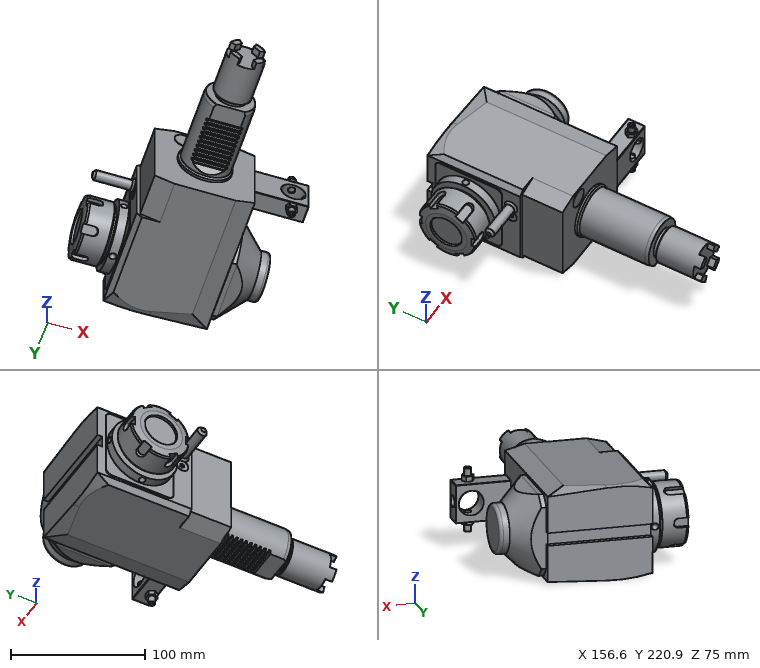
import cadquery as cq
import math

BLOCK_LEFT = -41.8
BLOCK_RIGHT = 39.3
BLOCK_DEPTH = 116.0
HALF_HEIGHT = 37.5
SIDE_HALF_HEIGHT = 33.4
SLOPE_ANGLE = 15.0
STEP_LEFT = -39.1
STEP_DEPTH = 35.3
CROWN_X = -14.0
CROWN_HALF_HEIGHT = 36.55
KEYWAY_WIDTH = 10.0
KEYWAY_DEPTH = 4.2

SPINDLE_Y = 80.0
PAD_THICKNESS = 0.7
PAD_LENGTH = 58.0
PAD_HEIGHT = 63.0
PAD_CORNER = 5.0
FLANGE_RADIUS = 28.0
FLANGE_FACE = -49.9
NECK_RADIUS = 22.0
NUT_BACK = -51.8
NUT_FACE = -74.5
NUT_RADIUS = 25.0
NUT_BACK_CHAMFER = 1.0
NUT_RIM = (-71.6, -73.2, 24.2)
NUT_FACE_RADIUS = 18.0
NUT_BORE_RADIUS = 13.8
NUT_BORE_DEPTH = 2.0
NUT_SLOT_COUNT = 6
NUT_SLOT_WIDTH = 7.4
NUT_LONG_SLOT_END = -57.6
NUT_SHORT_SLOT_END = -61.6
NUT_LONG_SLOTS = (1, 2)
NUT_SLOT_FLOOR = 21.6
FLANGE_HOLE_X = -46.1
FLANGE_HOLE_RADIUS = 2.7
FLANGE_HOLE_DEPTH = 2.7
FLANGE_HOLE_COUNT = 4

COVER_RADIUS = 40.0
COVER_RIM = 3.9
COVER_HALF_HEIGHT = 32.0
COVER_HUB_RADIUS = 19.3
COVER_HUB_ROUND = 2.7
COVER_END = 71.8

COLLAR_RADIUS = 21.4
COLLAR_WIDTH = 2.0
SHANK_RADIUS = 20.0
SHANK_START = -3.3
SHANK_END = -63.0
SHANK_TIP_LENGTH = 3.2
SHANK_TIP_RADIUS = 19.3
FLAT_Z = -15.8
FLAT_RAMP_START = -9.2
TOOTH_PITCH = 4.0
GROOVE_COUNT = 10
FIRST_GROOVE_Y = -11.5
GROOVE_DEPTH = 1.7
GROOVE_MOUTH = 2.8
GROOVE_ROOT = 1.2
DRIVE_NECK_RADIUS = 12.2
DRIVE_RADIUS = 15.0
DRIVE_START = -66.3
DRIVE_CHAMFER = 0.6
DRIVE_FACE = -99.3
DRIVE_END = -104.85
LUG_COUNT = 4
LUG_HALF_ANGLE = 19.0
LUG_INNER = 9.9
LUG_OUTER = DRIVE_RADIUS + 1.0

PIN_Y = 43.3
PIN_Z = 17.6
PIN_RADIUS = 4.0
PIN_TIP = -73.9
PIN_CHAMFER = 2.0
PIN_COLLAR_RADIUS = 5.6
PIN_COLLAR_LENGTH = 1.8
PLUG_Z = 7.7
PLUG_RADIUS = 5.1
PLUG_SOCKET_WIDTH = 3.6
PLUG_SOCKET_DEPTH = 2.0
PLUG_RECESS = 0.2
FRONT_PLUG = (-15.9, 27.7)
FRONT_PLUG_RADIUS = 7.6

BRACKET_END = 82.1
BRACKET_FRONT = 1.5
BRACKET_BACK = 16.2
BRACKET_HALF_HEIGHT = 15.0
BRACKET_EDGE = 0.4
BRACKET_BORE_X = 70.0
BRACKET_BORE_RADIUS = 9.6
END_HOLE_RADIUS = 4.5
END_HOLE_Y = 8.0
SCREW_Y = 6.1
SCREW_RADIUS = 2.7
SCREW_INNER = 11.0
SCREW_OUTER = 25.0
SCREW_CHAMFER = 0.5
SCREW_SOCKET_WIDTH = 3.4
SCREW_SOCKET_DEPTH = 2.0
SCREW_NUT_WIDTH = 9.24
SCREW_NUT_HEIGHT = 4.0

OVERLAP = 1.0
CLEARANCE = 60.0


def front_plane(y):
    """Plane facing -Y at depth y, with local x along X and local y along Z."""
    return cq.Workplane(cq.Plane(origin=(0, y, 0), xDir=(1, 0, 0), normal=(0, -1, 0)))


def left_plane(x, y, z):
    """Plane facing -X with its origin at the given point and local y along Z."""
    return cq.Workplane(cq.Plane(origin=(x, y, z), xDir=(0, -1, 0), normal=(-1, 0, 0)))


def turned_about_x(profile, y=SPINDLE_Y, z=0.0):
    """Solid of revolution about an X-parallel axis from (x, radius) points."""
    plane = cq.Workplane("XY", origin=(0, y, z))
    return plane.polyline(profile).close().revolve(360, (0, 0, 0), (1, 0, 0))


def mirrored_outline(upper):
    """Closed outline from upper points, repeated below the X axis."""
    lower = [(x, -z) for x, z in reversed(upper)]
    return upper + lower


def block_slice(left, left_run, y_front, y_back):
    """Housing length whose left bevel is left_run wide."""
    rise = HALF_HEIGHT - SIDE_HALF_HEIGHT
    right_run = rise / math.tan(math.radians(SLOPE_ANGLE))
    upper = [
        (left, SIDE_HALF_HEIGHT),
        (left + left_run, HALF_HEIGHT),
        (BLOCK_RIGHT - right_run, HALF_HEIGHT),
        (BLOCK_RIGHT, SIDE_HALF_HEIGHT),
    ]
    outline = front_plane(y_back).polyline(mirrored_outline(upper)).close()
    return outline.extrude(y_back - y_front)


def domed_back_envelope():
    """Body whose outline at the back face is crowned and widens toward the front."""
    left_run = CROWN_X - BLOCK_LEFT
    sagitta = CROWN_HALF_HEIGHT - SIDE_HALF_HEIGHT
    radius = (left_run ** 2 + sagitta ** 2) / (2 * sagitta)
    center_z = CROWN_HALF_HEIGHT - radius
    corner_x = BLOCK_RIGHT - CROWN_X
    corner_z = SIDE_HALF_HEIGHT - center_z
    corner_distance = math.hypot(corner_x, corner_z)
    tangent_angle = math.atan2(corner_z, corner_x) + math.acos(radius / corner_distance)

    def on_arc(angle, side=1):
        return (CROWN_X + radius * math.cos(angle), side * (center_z + radius * math.sin(angle)))

    extra = CLEARANCE / 4
    right_x = BLOCK_RIGHT + extra
    right_z = SIDE_HALF_HEIGHT - extra / math.tan(tangent_angle)
    left_angle = math.pi - math.acos((left_run + extra) / radius)
    crown = math.pi / 2
    outline = (
        front_plane(BLOCK_DEPTH)
        .moveTo(*on_arc(left_angle))
        .threePointArc(on_arc(crown), on_arc(tangent_angle))
        .lineTo(right_x, right_z)
        .lineTo(right_x, -right_z)
        .lineTo(*on_arc(tangent_angle, -1))
        .threePointArc(on_arc(crown, -1), on_arc(left_angle, -1))
        .close()
    )
    return outline.extrude(BLOCK_DEPTH, taper=-SLOPE_ANGLE)


def make_block():
    rise = HALF_HEIGHT - SIDE_HALF_HEIGHT
    step_run = rise / math.tan(math.radians(SLOPE_ANGLE))
    rear = block_slice(BLOCK_LEFT, rise, STEP_DEPTH, BLOCK_DEPTH)
    front = block_slice(STEP_LEFT, step_run, 0, STEP_DEPTH)
    block = rear.union(front).intersect(domed_back_envelope())
    keyway = cq.Workplane("XY").box(3 * CLEARANCE, 2 * KEYWAY_DEPTH, KEYWAY_WIDTH)
    return block.cut(keyway.translate((0, BLOCK_DEPTH, 0)))


def make_spindle():
    rim_start, rim_end, rim_radius = NUT_RIM
    inside = BLOCK_LEFT + OVERLAP
    body = turned_about_x([
        (inside, 0),
        (inside, FLANGE_RADIUS),
        (FLANGE_FACE, FLANGE_RADIUS),
        (FLANGE_FACE, NECK_RADIUS),
        (NUT_BACK, NECK_RADIUS),
        (NUT_BACK, NUT_RADIUS - NUT_BACK_CHAMFER),
        (NUT_BACK - NUT_BACK_CHAMFER, NUT_RADIUS),
        (rim_start, NUT_RADIUS),
        (rim_end, rim_radius),
        (NUT_FACE, NUT_FACE_RADIUS),
        (NUT_FACE, NUT_BORE_RADIUS),
        (NUT_FACE + NUT_BORE_DEPTH, NUT_BORE_RADIUS),
        (NUT_FACE + NUT_BORE_DEPTH, 0),
    ])
    pad = (
        left_plane(inside, SPINDLE_Y, 0)
        .rect(PAD_LENGTH, PAD_HEIGHT)
        .extrude(OVERLAP + PAD_THICKNESS)
        .edges("|X")
        .fillet(PAD_CORNER)
    )
    return cut_flange_holes(cut_nut_slots(body)).union(pad)


def around_spindle(tool, count):
    """Copies of a tool spread evenly about the spindle axis."""
    axis = ((0, SPINDLE_Y, 0), (1, SPINDLE_Y, 0))
    return [tool.rotate(*axis, -i * 360 / count) for i in range(count)]


def nut_slot(end):
    """Round-ended slot cutter on the front side of the nut, reaching to X = end."""
    round_center = end - NUT_SLOT_WIDTH / 2
    return (
        front_plane(SPINDLE_Y - NUT_SLOT_FLOOR)
        .moveTo(NUT_FACE - OVERLAP, -NUT_SLOT_WIDTH / 2)
        .lineTo(round_center, -NUT_SLOT_WIDTH / 2)
        .threePointArc((end, 0), (round_center, NUT_SLOT_WIDTH / 2))
        .lineTo(NUT_FACE - OVERLAP, NUT_SLOT_WIDTH / 2)
        .close()
        .extrude(NUT_RADIUS)
    )


def cut_nut_slots(body):
    long_slots = around_spindle(nut_slot(NUT_LONG_SLOT_END), NUT_SLOT_COUNT)
    short_slots = around_spindle(nut_slot(NUT_SHORT_SLOT_END), NUT_SLOT_COUNT)
    for i in range(NUT_SLOT_COUNT):
        body = body.cut(long_slots[i] if i in NUT_LONG_SLOTS else short_slots[i])
    return body


def cut_flange_holes(body):
    cone = cq.Solid.makeCone(
        0,
        2 * FLANGE_HOLE_RADIUS,
        2 * FLANGE_HOLE_DEPTH,
        cq.Vector(FLANGE_HOLE_X, SPINDLE_Y - FLANGE_RADIUS + FLANGE_HOLE_DEPTH, 0),
        cq.Vector(0, -1, 0),
    )
    hole = cq.Workplane(cone)
    for tool in around_spindle(hole, FLANGE_HOLE_COUNT):
        body = body.cut(tool)
    return body


def make_cover():
    """Conical bearing cover trimmed above and below by sloped flats, and at the back by an upright one."""
    rim_end = BLOCK_RIGHT + COVER_RIM
    cone_end = rim_end + COVER_RADIUS - COVER_HUB_RADIUS
    inside = BLOCK_RIGHT - OVERLAP
    cover = turned_about_x([
        (inside, 0),
        (inside, COVER_RADIUS),
        (rim_end, COVER_RADIUS),
        (cone_end, COVER_HUB_RADIUS),
        (COVER_END, COVER_HUB_RADIUS),
        (COVER_END, 0),
    ]).faces(">X").edges().fillet(COVER_HUB_ROUND)
    length = COVER_END - rim_end
    drop = length * math.tan(math.radians(SLOPE_ANGLE))
    upper = [
        (inside, COVER_HALF_HEIGHT),
        (rim_end, COVER_HALF_HEIGHT),
        (COVER_END, COVER_HALF_HEIGHT - drop),
    ]
    back = SPINDLE_Y + COVER_HALF_HEIGHT
    envelope = front_plane(back).polyline(mirrored_outline(upper)).close().extrude(3 * COVER_RADIUS)
    return cover.intersect(envelope)


def make_shank():
    tip_start = SHANK_END + SHANK_TIP_LENGTH
    profile = [
        (0, OVERLAP),
        (SHANK_RADIUS, OVERLAP),
        (SHANK_RADIUS, tip_start),
        (SHANK_TIP_RADIUS, SHANK_END),
        (0, SHANK_END),
    ]
    shank = cq.Workplane("XY").polyline(profile).close().revolve(360, (0, 0, 0), (0, 1, 0))
    collar = front_plane(0).circle(COLLAR_RADIUS).extrude(COLLAR_WIDTH)
    seat_length = -SHANK_START - COLLAR_WIDTH
    seat = (
        front_plane(-COLLAR_WIDTH)
        .circle(COLLAR_RADIUS)
        .workplane(offset=seat_length)
        .circle(SHANK_RADIUS)
        .loft()
    )
    return cut_clamping_teeth(shank.union(seat)).union(collar)


def cut_clamping_teeth(shank):
    """Flat under the shank with a 45 degree run-out and cross grooves."""
    ramp_drop = CLEARANCE
    side = cq.Workplane("YZ", origin=(-CLEARANCE, 0, 0))
    flat = side.polyline([
        (FLAT_RAMP_START, FLAT_Z),
        (SHANK_END - OVERLAP, FLAT_Z),
        (SHANK_END - OVERLAP, FLAT_Z - ramp_drop),
        (FLAT_RAMP_START + ramp_drop, FLAT_Z - ramp_drop),
    ]).close().extrude(2 * CLEARANCE)
    shank = shank.cut(flat)
    for i in range(GROOVE_COUNT):
        y = FIRST_GROOVE_Y - i * TOOTH_PITCH
        groove = side.polyline([
            (y - GROOVE_MOUTH / 2, FLAT_Z),
            (y - GROOVE_ROOT / 2, FLAT_Z + GROOVE_DEPTH),
            (y + GROOVE_ROOT / 2, FLAT_Z + GROOVE_DEPTH),
            (y + GROOVE_MOUTH / 2, FLAT_Z),
        ]).close().extrude(2 * CLEARANCE)
        shank = shank.cut(groove)
    return shank


def make_drive():
    """Coupling shaft ending in four wedge-shaped lugs."""
    neck_start = SHANK_END + OVERLAP
    neck = front_plane(neck_start).circle(DRIVE_NECK_RADIUS).extrude(neck_start + OVERLAP - DRIVE_START)
    sleeve = (
        front_plane(DRIVE_START)
        .circle(DRIVE_RADIUS)
        .extrude(DRIVE_START - DRIVE_END)
        .faces(">Y")
        .edges()
        .chamfer(DRIVE_CHAMFER)
    )
    return neck.union(sleeve.cut(lug_clearance()))


def lug_clearance():
    """Material removed from the end of the drive to leave the lugs standing."""
    height = DRIVE_FACE - DRIVE_END + OVERLAP
    clearance = front_plane(DRIVE_FACE).circle(LUG_OUTER).extrude(height)
    reach = 2 * LUG_OUTER
    flare = math.tan(math.radians(LUG_HALF_ANGLE))
    wedge = (
        front_plane(DRIVE_FACE)
        .polyline([
            (LUG_INNER, -LUG_INNER * flare),
            (reach, -reach * flare),
            (reach, reach * flare),
            (LUG_INNER, LUG_INNER * flare),
        ])
        .close()
        .extrude(height)
    )
    for i in range(LUG_COUNT):
        angle = (i + 0.5) * 360 / LUG_COUNT
        clearance = clearance.cut(wedge.rotate((0, 0, 0), (0, 1, 0), angle))
    return clearance


def make_pin():
    return turned_about_x([
        (BLOCK_LEFT + OVERLAP, 0),
        (BLOCK_LEFT + OVERLAP, PIN_COLLAR_RADIUS),
        (BLOCK_LEFT, PIN_COLLAR_RADIUS),
        (BLOCK_LEFT - PIN_COLLAR_LENGTH, PIN_RADIUS),
        (PIN_TIP + PIN_CHAMFER, PIN_RADIUS),
        (PIN_TIP, PIN_RADIUS - PIN_CHAMFER),
        (PIN_TIP, 0),
    ], PIN_Y, PIN_Z)


def cut_plugs(body):
    side = left_plane(BLOCK_LEFT, PIN_Y, PLUG_Z)
    side_recess = side.circle(PLUG_RADIUS).extrude(-PLUG_RECESS)
    socket = side.transformed(rotate=(0, 0, 30)).polygon(6, PLUG_SOCKET_WIDTH).extrude(-PLUG_SOCKET_DEPTH)
    front_recess = front_plane(0).center(*FRONT_PLUG).circle(FRONT_PLUG_RADIUS).extrude(-PLUG_RECESS)
    return body.cut(side_recess).cut(socket).cut(front_recess)


def make_bracket():
    start = BLOCK_RIGHT - OVERLAP
    bar = (
        front_plane(BRACKET_BACK)
        .moveTo(start, -BRACKET_HALF_HEIGHT)
        .lineTo(BRACKET_END, -BRACKET_HALF_HEIGHT)
        .lineTo(BRACKET_END, BRACKET_HALF_HEIGHT)
        .lineTo(start, BRACKET_HALF_HEIGHT)
        .close()
        .extrude(BRACKET_BACK - BRACKET_FRONT)
        .edges(">X and |Z or >X and |Y or >Y and |X or <Y and |X")
        .chamfer(BRACKET_EDGE)
    )
    bore = front_plane(BRACKET_BACK).center(BRACKET_BORE_X, 0).circle(BRACKET_BORE_RADIUS).extrude(CLEARANCE)
    end_hole = (
        cq.Workplane("YZ", origin=(BRACKET_BORE_X, END_HOLE_Y, 0))
        .circle(END_HOLE_RADIUS)
        .extrude(CLEARANCE)
    )
    screw_hole = (
        cq.Workplane("XY", origin=(BRACKET_BORE_X, SCREW_Y, -SCREW_INNER))
        .circle(SCREW_RADIUS)
        .extrude(2 * SCREW_INNER)
    )
    upper_screw = make_screw()
    lower_screw = upper_screw.mirror("XY")
    return bar.cut(bore).cut(end_hole).cut(screw_hole).union(upper_screw).union(lower_screw)


def make_screw():
    """Upper clamping screw with its hexagon nut."""
    base = cq.Workplane("XY", origin=(BRACKET_BORE_X, SCREW_Y, 0))
    screw = (
        base.workplane(offset=SCREW_INNER)
        .circle(SCREW_RADIUS)
        .extrude(SCREW_OUTER - SCREW_INNER)
        .faces(">Z")
        .edges()
        .chamfer(SCREW_CHAMFER)
    )
    nut = base.workplane(offset=BRACKET_HALF_HEIGHT).polygon(6, SCREW_NUT_WIDTH).extrude(SCREW_NUT_HEIGHT)
    socket = base.workplane(offset=SCREW_OUTER).polygon(6, SCREW_SOCKET_WIDTH).extrude(-SCREW_SOCKET_DEPTH)
    return screw.union(nut).cut(socket)


housing = cut_plugs(make_block())
result = (
    housing.union(make_spindle())
    .union(make_cover())
    .union(make_shank())
    .union(make_drive())
    .union(make_pin())
    .union(make_bracket())
)